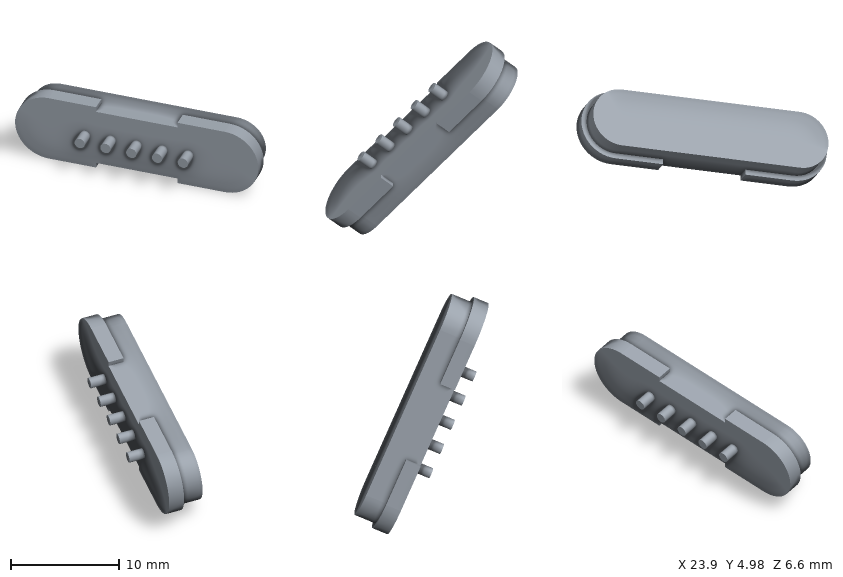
import cadquery as cq

LENGTH = 23.9
FLANGE_HEIGHT = 6.6
END_SPACING = LENGTH - FLANGE_HEIGHT
BODY_HEIGHT = 5.6
BODY_LENGTH = END_SPACING + BODY_HEIGHT
FLANGE_DEPTH = 1.48
BODY_DEPTH = 2.0
HOUSING_DEPTH = FLANGE_DEPTH + BODY_DEPTH
NOTCH_LENGTH = 8.0

MAGNET_DIAMETER = 4.5
PIN_DIAMETER = 1.0
PIN_PITCH = 2.53
PIN_COUNT = 5
PIN_PROTRUSION = 1.5

MAGNET_POSITIONS = [-END_SPACING / 2, END_SPACING / 2]
PIN_POSITIONS = [(i - (PIN_COUNT - 1) / 2) * PIN_PITCH for i in range(PIN_COUNT)]


def plane_at(y):
    """XZ plane at the given Y, with its normal along +Y and local Y along -Z."""
    return cq.Workplane(cq.Plane(origin=(0, y, 0), xDir=(1, 0, 0), normal=(0, 1, 0)))


def make_cylinder(x, diameter, front_y):
    """Cylinder along Y from front_y to the back face of the housing."""
    return plane_at(front_y).center(x, 0).circle(diameter / 2).extrude(HOUSING_DEPTH - front_y)


def make_magnet(x):
    """Magnet flush with the front and back faces."""
    return make_cylinder(x, MAGNET_DIAMETER, 0)


def make_pin(x):
    """Contact pin standing out of the front face."""
    return make_cylinder(x, PIN_DIAMETER, -PIN_PROTRUSION)


def make_housing(inserts):
    """Rounded bar with a flange around each end and a seat for every insert."""
    flange = plane_at(0).slot2D(LENGTH, FLANGE_HEIGHT).extrude(FLANGE_DEPTH)
    middle = plane_at(0).rect(NOTCH_LENGTH, FLANGE_HEIGHT).extrude(FLANGE_DEPTH)
    body = plane_at(0).slot2D(BODY_LENGTH, BODY_HEIGHT).extrude(HOUSING_DEPTH)
    housing = flange.cut(middle).union(body)
    for insert in inserts:
        housing = housing.cut(insert)
    return housing.solids()


magnets = [make_magnet(x) for x in MAGNET_POSITIONS]
pins = [make_pin(x) for x in PIN_POSITIONS]
housing = make_housing(magnets + pins)

result = cq.Compound.makeCompound([housing.val()] + [insert.val() for insert in magnets + pins])